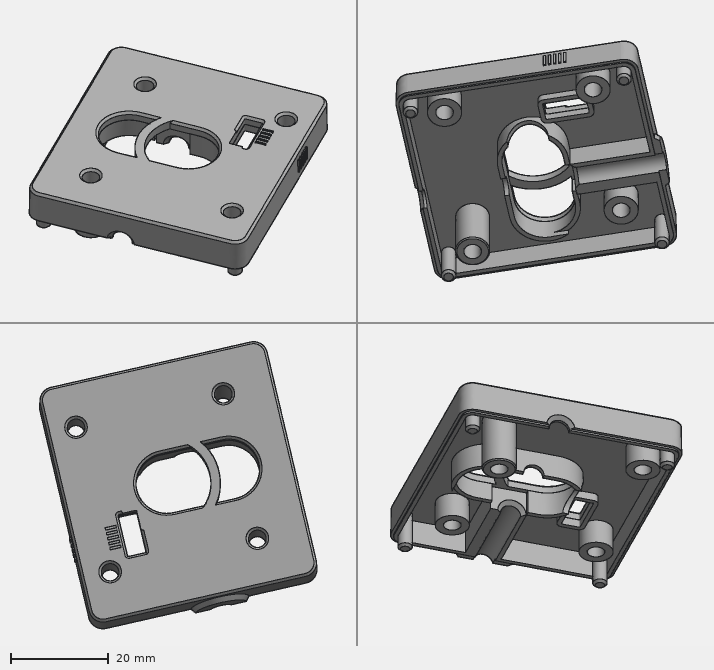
import cadquery as cq
OVERALL_X = 48.25
OVERALL_Y = 51.5
LENGTH_X = 48.0
LENGTH_Y = 50.5
HEIGHT = 7.5
CORNER_RADIUS = 3.0
DRAFT_ANGLE = 1.0
TOP_CHAMFER = 0.5
LIP_HEIGHT = 0.4
LIP_INSET = 0.6
WALL_THICKNESS = 1.5
PLATE_THICKNESS = 2.0
PLATE_BOTTOM = HEIGHT - PLATE_THICKNESS
SIDE_X = LENGTH_X / 2
BACK_Y = LENGTH_Y / 2

PIN_DIAMETER = 3.0
PIN_LENGTH = 3.0
PIN_CHAMFER = 0.5

SENSOR_X = 2.35
SENSOR_Y = -0.25
SCREW_PITCH = 31.0
SCREW_DIAMETER = 3.6

POST_DIAMETER = 7.0
STUD_LENGTH = 6.5
STUD_CHAMFER = 0.25

RIM_CHAMFER = 0.5
RIM_STEP = 0.0005
CLEARANCE = 0.05
COLLAR_THICKNESS = 1.05

OPENING_WIDTH = 12.55
OPENING_SPACING = 13.1
OPENING_LENGTH = OPENING_SPACING + OPENING_WIDTH
OPENING_X = SENSOR_X - OPENING_SPACING / 2
OPENING_BACK_Y = SENSOR_Y + OPENING_WIDTH / 2

RING_OUTER_RADIUS = 11.0
RING_INNER_RADIUS = 9.05

WINDOW_X = 11.65
WINDOW_Y = 8.4
WINDOW_SIZE_X = 3.9
WINDOW_SIZE_Y = 8.95
WINDOW_RADIUS = 0.25
WINDOW_COLLAR_BOTTOM = 3.7

CHANNEL_X = -2.95
CHANNEL_RADIUS = 2.15
MOUTH_RADIUS = 3.05
MOUTH_DEPTH = MOUTH_RADIUS - CHANNEL_RADIUS

BOSS_TIP_RADIUS = 5.35
BOSS_BASE_RADIUS = 6.15
BOSS_LENGTH = OVERALL_Y - LENGTH_Y

GAP_LEFT_X = -7.5
GAP_RIGHT_X = 0.2
BLOCK_FRONT_Y = OPENING_BACK_Y + COLLAR_THICKNESS

RELIEF_HEIGHT = 1.35

NOTCH_RADIUS = 4.25

RIB_COUNT = 5
RIB_PITCH = 1.055
RIB_WIDTH = 0.5
RIB_BOTTOM = 2.45
RIB_TOP = 5.55
RIB_PROTRUSION = OVERALL_X - LENGTH_X
GROOVE_START_X = 14.5
GROOVE_LENGTH = 2.25
GROOVE_DEPTH = 0.25

OVERLAP = 0.5


def cylinder(x, y, diameter, bottom, top):
    return cq.Workplane("XY", origin=(x, y, bottom)).circle(diameter / 2).extrude(top - bottom)


def box(x_range, y_range, z_range):
    start = (x_range[0], y_range[0], z_range[0])
    size = (x_range[1] - x_range[0], y_range[1] - y_range[0], z_range[1] - z_range[0])
    return cq.Workplane("XY", origin=start).box(*size, centered=False)


def rounded_block(x, y, size_x, size_y, radius, bottom, top, draft=0):
    outline = cq.Sketch().rect(size_x, size_y).vertices().fillet(radius)
    return cq.Workplane("XY", origin=(x, y, bottom)).placeSketch(outline).extrude(top - bottom, taper=draft)


def obround_block(length, width, bottom, top):
    plane = cq.Workplane("XY", origin=(OPENING_X, SENSOR_Y, bottom))
    return plane.slot2D(length, width).extrude(top - bottom)


def cone_along_y(y_start, y_end, start_radius, end_radius):
    """Cone around the channel axis."""
    base = cq.Vector(CHANNEL_X, y_start, 0)
    return cq.Workplane(cq.Solid.makeCone(start_radius, end_radius, y_end - y_start, base, cq.Vector(0, 1, 0)))


def flared_rim(sheet):
    """Turn a cutter's wide top slice into a 45 degree flare that narrows downwards."""
    return sheet.faces("<Z").chamfer(RIM_CHAMFER - RIM_STEP)


def housing():
    body = rounded_block(0, 0, LENGTH_X, LENGTH_Y, CORNER_RADIUS, LIP_HEIGHT, HEIGHT, DRAFT_ANGLE)
    lip_x = LENGTH_X - 2 * LIP_INSET
    lip_y = LENGTH_Y - 2 * LIP_INSET
    lip = rounded_block(0, 0, lip_x, lip_y, CORNER_RADIUS - LIP_INSET, 0, LIP_HEIGHT)
    inner_x = LENGTH_X - 2 * WALL_THICKNESS
    inner_y = LENGTH_Y - 2 * WALL_THICKNESS
    cavity = rounded_block(0, 0, inner_x, inner_y, CORNER_RADIUS - WALL_THICKNESS, 0, PLATE_BOTTOM)
    return body.faces(">Z").chamfer(TOP_CHAMFER).union(lip).cut(cavity)


def collars():
    growth = 2 * COLLAR_THICKNESS
    top = PLATE_BOTTOM + OVERLAP
    around_opening = obround_block(OPENING_LENGTH + growth, OPENING_WIDTH + growth, 0, top)
    return around_opening.union(window_block(COLLAR_THICKNESS, WINDOW_COLLAR_BOTTOM, top))


def channel_block():
    y_range = (BLOCK_FRONT_Y, BACK_Y - WALL_THICKNESS + OVERLAP)
    return box((GAP_LEFT_X, GAP_RIGHT_X), y_range, (0, PLATE_BOTTOM + OVERLAP))


def cable_boss():
    flare = (BOSS_BASE_RADIUS - BOSS_TIP_RADIUS) / BOSS_LENGTH
    root_radius = BOSS_BASE_RADIUS + flare * OVERLAP
    cone = cone_along_y(BACK_Y - OVERLAP, BACK_Y + BOSS_LENGTH, root_radius, BOSS_TIP_RADIUS)
    above_lip = box((-SIDE_X, SIDE_X), (0, LENGTH_Y), (LIP_HEIGHT, HEIGHT))
    return cone.intersect(above_lip)


def locating_pin(x, y):
    return cylinder(x, y, PIN_DIAMETER, -PIN_LENGTH, PLATE_BOTTOM + OVERLAP).faces("<Z").chamfer(PIN_CHAMFER)


def screw_post(x, y):
    return cylinder(x, y, POST_DIAMETER, 0, PLATE_BOTTOM + OVERLAP)


def stud(x, y):
    return cylinder(x, y, POST_DIAMETER, -STUD_LENGTH, OVERLAP).faces("<Z").chamfer(STUD_CHAMFER)


def screw_hole(x, y):
    hole = cylinder(x, y, SCREW_DIAMETER, -STUD_LENGTH, HEIGHT)
    rim = cylinder(x, y, SCREW_DIAMETER + 2 * RIM_CHAMFER, HEIGHT - RIM_CHAMFER, HEIGHT)
    return hole.union(flared_rim(rim))


def ring_disc(radius):
    return cylinder(SENSOR_X, SENSOR_Y, 2 * radius, PLATE_BOTTOM, HEIGHT)


def sensor_opening():
    rim_growth = 2 * RIM_CHAMFER
    wide_growth = 2 * CLEARANCE
    upper = obround_block(OPENING_LENGTH, OPENING_WIDTH, PLATE_BOTTOM, HEIGHT)
    rim_bottom = HEIGHT - RIM_CHAMFER
    rim = obround_block(OPENING_LENGTH + rim_growth, OPENING_WIDTH + rim_growth, rim_bottom, HEIGHT)
    lower = obround_block(OPENING_LENGTH + wide_growth, OPENING_WIDTH + wide_growth, 0, PLATE_BOTTOM)
    ring = ring_disc(RING_OUTER_RADIUS).cut(ring_disc(RING_INNER_RADIUS))
    return upper.union(flared_rim(rim)).cut(ring).union(lower)


def window_block(growth, bottom, top):
    size_x = WINDOW_SIZE_X + 2 * growth
    size_y = WINDOW_SIZE_Y + 2 * growth
    return rounded_block(WINDOW_X, WINDOW_Y, size_x, size_y, WINDOW_RADIUS + growth, bottom, top)


def window():
    """Window whose rim chamfer stops where it meets the sensor ring."""
    rim = flared_rim(window_block(RIM_CHAMFER, HEIGHT - RIM_CHAMFER, HEIGHT))
    rim = rim.cut(ring_disc(RING_OUTER_RADIUS))
    upper = window_block(0, PLATE_BOTTOM, HEIGHT)
    lower = window_block(CLEARANCE, 0, PLATE_BOTTOM)
    return rim.union(upper).union(lower)


def cable_channel():
    bore = cq.Workplane("XZ", origin=(CHANNEL_X, 0, 0)).circle(CHANNEL_RADIUS).extrude(LENGTH_Y, both=True)
    gap = box((GAP_LEFT_X, GAP_RIGHT_X), (SENSOR_Y, BLOCK_FRONT_Y), (0, PLATE_BOTTOM))
    front_mouth = cone_along_y(-BACK_Y, -BACK_Y + MOUTH_DEPTH, MOUTH_RADIUS, CHANNEL_RADIUS)
    block_mouth = cone_along_y(BLOCK_FRONT_Y, BLOCK_FRONT_Y + MOUTH_DEPTH, MOUTH_RADIUS, CHANNEL_RADIUS)
    return bore.union(gap).union(front_mouth).union(block_mouth)


def collar_relief():
    x_range = (OPENING_X - OPENING_LENGTH / 2, GAP_LEFT_X)
    return box(x_range, (SENSOR_Y, BLOCK_FRONT_Y), (0, RELIEF_HEIGHT))


def collar_notch():
    start = cq.Workplane("YZ", origin=(SENSOR_X, SENSOR_Y, 0))
    return start.circle(NOTCH_RADIUS).extrude(OPENING_WIDTH / 2 + COLLAR_THICKNESS)


def grip_rows():
    """Y centre of each rib and groove."""
    middle = (RIB_COUNT - 1) / 2
    return [WINDOW_Y + (i - middle) * RIB_PITCH for i in range(RIB_COUNT)]


def side_rib(y):
    x_range = (SIDE_X - OVERLAP, SIDE_X + RIB_PROTRUSION)
    return box(x_range, (y - RIB_WIDTH / 2, y + RIB_WIDTH / 2), (RIB_BOTTOM, RIB_TOP))


def top_groove(y):
    x_range = (GROOVE_START_X, GROOVE_START_X + GROOVE_LENGTH)
    return box(x_range, (y - RIB_WIDTH / 2, y + RIB_WIDTH / 2), (HEIGHT - GROOVE_DEPTH, HEIGHT))


corner_signs = [(-1, -1), (1, -1), (-1, 1), (1, 1)]
pin_x = SIDE_X - CORNER_RADIUS
pin_y = BACK_Y - CORNER_RADIUS
screw_offset = SCREW_PITCH / 2

screw_places = [(SENSOR_X + sx * screw_offset, SENSOR_Y + sy * screw_offset) for sx, sy in corner_signs]

result = housing().union(collars()).union(channel_block()).union(cable_boss())
for screw_x, screw_y in screw_places:
    result = result.union(screw_post(screw_x, screw_y))
result = result.union(stud(*screw_places[0]))
for sign_x, sign_y in corner_signs:
    result = result.union(locating_pin(sign_x * pin_x, sign_y * pin_y))
for row_y in grip_rows():
    result = result.union(side_rib(row_y))

for screw_x, screw_y in screw_places:
    result = result.cut(screw_hole(screw_x, screw_y))
result = result.cut(sensor_opening()).cut(window())
result = result.cut(cable_channel()).cut(collar_relief()).cut(collar_notch())
for row_y in grip_rows():
    result = result.cut(top_groove(row_y))